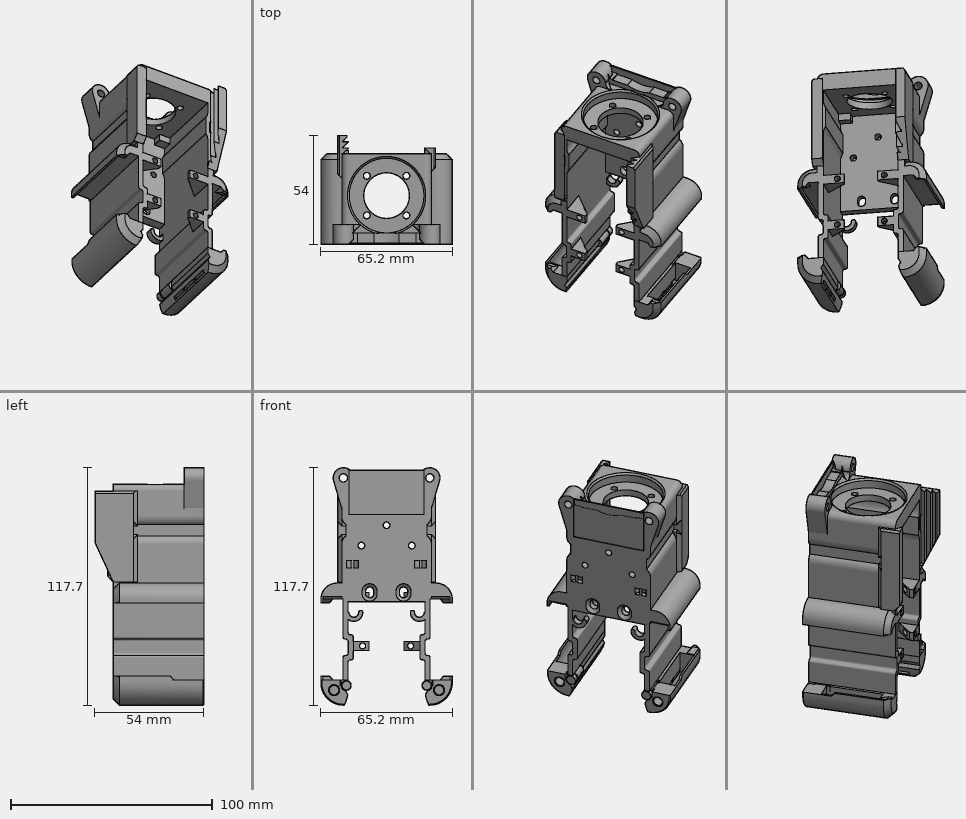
import cadquery as cq
import math


depth = 45.0
half_width = 32.6
total_height = 117.73

box_half = 22.2
box_top = 109.5
box_corner = 3.4
wall_inner = 19.0
front_thick = 5.0
roof_thick = 8.5
plate_bottom = 51.2
roof_under = box_top - roof_thick

groove_z = 86.75
groove_depth = 2.1
groove_floor = 5.6
groove_mouth = 13.9
bulge_depth = 1.2
bulge_floor = 10.0
bulge_mouth = 17.5

leg_outer = 21.6
leg_thick = leg_outer - wall_inner
jog = 2.5
jog_z = 28.73
jog_outer_half = 4.02
jog_inner_half = 6.27
jog_radius = 1.15

wing_top = 60.6
wing_radius = 8.1
wing_under = 52.6
wing_front_lift = 1.3
rim_bottom = 50.7
rim_thick = 1.1
back_bevel = 3.0
block_start = 39.5
block_ramp = 3.8
block_top_x = 28.2
block_foot_x = 26.6
margin = 0.1

motor_y = 24.2
motor_bore = 22.5
seat_diameter = 37.0
seat_depth = 5.0
seat_bevel = 0.9
motor_hole = 3.25
motor_hole_pitch = 19.6

ear_radius = 5.1
ear_x = 21.4
ear_z = total_height - ear_radius
ear_depth = 9.85
ear_foot_z = 97.5
ear_hole = 4.0
ear_fillet = 3.3

web_depth = 5.6
web_height = 3.4
web_step = 0.5
web_step_half = 14.5
dish_half = 6.2
dish_depth = 1.2
relief_half = 17.0
relief_front_half = 18.3
relief_front_length = 2.5

cover_half = 18.6
cover_bottom = 94.4
cover_top = 116.5
cover_thick = 0.6

plate_hole = 3.2
plate_hole_places = [(0, 89.2), (-12.5, 79.1), (12.5, 79.1)]
screw_x = 8.4
screw_z = 55.9
screw_width = 4.0
screw_head = 7.4
screw_stretch = 1.3
screw_sink = 1.7
tie_x = 16.9
tie_bottom = 68.0
tie_height = 3.6
tie_outer = 2.95
tie_inner = 0.65

flag_outer = 24.3
flag_bottom = 61.0
flag_top = box_top - box_corner
flag_bevel_x = 0.9
flag_bevel_z = 1.1
tooth_tip = 18.8
tooth_pitch = 3.1
first_tooth_y = 47.8
flag_floor_top = 64.5
notch_root_half = 2.1
notch_mouth_half = 4.4
long_flag_start = 35.0
long_flag_end = first_tooth_y + 2 * tooth_pitch
long_flag_slope_z = 80.4
long_tip_cut = 0.8
short_flag_start = 38.3
short_flag_slope_z = 64.0

hook_x = 16.25
hook_z = 46.0
hook_outer = 4.5
hook_inner = 2.35
hook_width = 3.5

tab_tip = 8.6
tab_height = 4.6
tab_tip_thick = 2.0
tab_hole = 2.9
tab_hole_x = 11.9
upper_tab_bottom = 51.3
lower_tab_bottom = 27.1

duct_top = 12.6
duct_radius = 11.2
duct_rim_top = 14.5
duct_rim_start = 15.0
duct_rim_full = 16.8
duct_front_bevel = 0.5
duct_tip = 21.0
lip_mid = (-19.6, 3.4)
lip_crest = (-19.2, 5.2)
lip_notch = (-20.2, 7.1)
lip_shoulder_z = 9.0
duct_hole = 4.7
duct_hole_x = 26.0
duct_hole_z = 7.5
duct_hole_bevel = 0.4
duct_hole_depth = 6.0
pocket_start = 9.6
pocket_end = 38.8
pocket_inner_x = 23.1
window_start = 12.4
window_length = 8.2
window_gap = 1.1
window_count = 3
window_bottom = 1.1
window_top = 2.6

pin_diameter = 4.75
pin_x = 19.9
pin_z = 9.8
pin_length = 11.3
pin_gap = 0.25
pin_groove_y = 2.9
pin_groove_width = 0.3
pin_groove_depth = 0.2


def front_sketch(y=0.0):
    """Sketch plane in X and Z; a negative extrude runs toward +Y."""
    return cq.Workplane("XZ", origin=(0, y, 0))


def along_y(sketch, length):
    return sketch.extrude(-length)


def box(x0, x1, y0, y1, z0, z1):
    return cq.Workplane("XY").box(x1 - x0, y1 - y0, z1 - z0, centered=False).translate((x0, y0, z0))


def rod(x, z, diameter, y0, y1):
    return along_y(front_sketch(y0).center(x, z).circle(diameter / 2), y1 - y0)


def mirrored(shape):
    return shape.mirror("YZ")


def on_both_sides(shape):
    return shape.union(mirrored(shape))


def groove_shape(face_x, groove_in, floor, mouth, y0):
    """Channel to the back face, with a flat floor and arcs that run out into the face at face_x."""
    rise = (mouth - floor) / 2
    radius = (groove_in ** 2 + rise ** 2) / (2 * groove_in)
    floor_x = face_x + groove_in
    sketch = (
        front_sketch(y0)
        .moveTo(face_x, groove_z - mouth / 2)
        .radiusArc((floor_x, groove_z - floor / 2), radius)
        .lineTo(floor_x, groove_z + floor / 2)
        .radiusArc((face_x, groove_z + mouth / 2), radius)
        .close()
    )
    return along_y(sketch, depth - y0)


def tunnel():
    outer = box(-box_half, box_half, 0, depth, plate_bottom, box_top).edges("|Y and >Z").fillet(box_corner)
    inner = box(-wall_inner, wall_inner, front_thick, depth, plate_bottom, roof_under)
    bulge = groove_shape(-wall_inner, bulge_depth, bulge_floor, bulge_mouth, front_thick)
    groove = groove_shape(-box_half, groove_depth, groove_floor, groove_mouth, 0)
    trim = box(-box_half, -leg_outer, 0, depth, plate_bottom, wing_under)
    shell = outer.cut(inner).union(on_both_sides(bulge))
    return shell.cut(on_both_sides(groove)).cut(on_both_sides(trim))


def leg():
    points = [
        (-leg_outer, wing_top),
        (-leg_outer, jog_z + jog_outer_half),
        (-leg_outer + jog, jog_z + jog_outer_half),
        (-leg_outer + jog, jog_z - jog_outer_half),
        (-leg_outer, jog_z - jog_outer_half),
        (-leg_outer, duct_top),
        (-wall_inner, duct_top),
        (-wall_inner, jog_z - jog_inner_half),
        (-wall_inner + jog, jog_z - jog_inner_half),
        (-wall_inner + jog, jog_z + jog_inner_half),
        (-wall_inner, jog_z + jog_inner_half),
        (-wall_inner, wing_top),
    ]
    wall = along_y(front_sketch().polyline(points).close(), depth)
    jog_corners = cq.selectors.BoxSelector(
        (-half_width, -margin, jog_z - jog_inner_half - margin),
        (0, depth + margin, jog_z + jog_inner_half + margin),
    )
    return wall.edges("|Y").edges(jog_corners).fillet(jog_radius)


def rim_block(rim_z, body_z):
    """Block inside the rim at the back end, ramped at the front and sloped on the inner side."""
    skin_x = -half_width + rim_thick
    points = [(skin_x, body_z), (skin_x, rim_z), (-block_top_x, rim_z), (-block_foot_x, body_z)]
    block = along_y(front_sketch(block_start).polyline(points).close(), depth - block_start)
    side = [(block_start, body_z), (block_start + block_ramp, rim_z), (depth, rim_z), (depth, body_z)]
    ramp = cq.Workplane("YZ", origin=(skin_x, 0, 0)).polyline(side).close().extrude(half_width)
    return block.intersect(ramp)


def skin_selector(inner_x, low_z, high_z, y):
    """Edges of the outer skin at depth y, outside inner_x and between two heights."""
    return cq.selectors.BoxSelector(
        (-half_width - margin, y - margin, low_z + margin),
        (inner_x + margin, y + margin, high_z - margin),
    )


def wing():
    arc_x = -half_width + wing_radius
    arc_z = wing_top - wing_radius
    mid = wing_radius * math.sqrt(0.5)
    sketch = (
        front_sketch()
        .moveTo(-wall_inner - leg_thick / 2, wing_top)
        .lineTo(arc_x, wing_top)
        .threePointArc((arc_x - mid, arc_z + mid), (-half_width, arc_z))
        .lineTo(-half_width, rim_bottom)
        .lineTo(-wall_inner - leg_thick / 2, rim_bottom)
        .close()
    )
    body = along_y(sketch, depth)
    skin = skin_selector(arc_x, rim_bottom, wing_top, depth)
    body = body.faces(">Y").edges(skin).chamfer(back_bevel)
    skin_x = -half_width + rim_thick
    under = box(skin_x, -leg_outer, 0, depth, rim_bottom, wing_under)
    lift = (
        cq.Workplane("YZ", origin=(skin_x, 0, 0))
        .polyline([(0, wing_under), (0, wing_under + wing_front_lift), (wing_front_lift, wing_under)])
        .close()
        .extrude(-leg_outer - skin_x)
    )
    return body.cut(under.cut(rim_block(rim_bottom, wing_under))).cut(lift)


def ear():
    """Lug with a round head, a slanted outer side and a filleted foot on the roof."""
    foot_dx = ear_x - box_half
    foot_dz = ear_foot_z - ear_z
    touch = math.atan2(foot_dz, foot_dx) - math.acos(ear_radius / math.hypot(foot_dx, foot_dz))
    touch_x = -ear_x + ear_radius * math.cos(touch)
    touch_z = ear_z + ear_radius * math.sin(touch)
    inner_x = -ear_x + ear_radius
    sketch = (
        front_sketch()
        .moveTo(-box_half, ear_foot_z)
        .lineTo(touch_x, touch_z)
        .threePointArc((-ear_x, ear_z + ear_radius), (inner_x, ear_z))
        .lineTo(inner_x, box_top + ear_fillet)
        .radiusArc((inner_x + ear_fillet, box_top), -ear_fillet)
        .lineTo(inner_x + ear_fillet, ear_foot_z)
        .close()
    )
    return along_y(sketch, ear_depth)


def web():
    """Low wall between the ears with a stepped top and a shallow dish."""
    top = box_top + web_height
    body = box(-ear_x, ear_x, 0, web_depth, roof_under, top)
    floor_z = top - web_step
    recess = (
        front_sketch()
        .moveTo(-web_step_half, top)
        .lineTo(-web_step_half, floor_z)
        .lineTo(-dish_half, floor_z)
        .threePointArc((0, floor_z - dish_depth), (dish_half, floor_z))
        .lineTo(web_step_half, floor_z)
        .lineTo(web_step_half, top)
        .close()
    )
    return body.cut(along_y(recess, web_depth))


def ear_relief():
    """Clearance with 45 degree sides that trims the feet of the ears behind and over the web."""
    inner_half = relief_half - (ear_depth - web_depth)
    behind = (
        cq.Workplane("XY", origin=(0, 0, box_top))
        .polyline([
            (-relief_half, web_depth),
            (-inner_half, ear_depth),
            (inner_half, ear_depth),
            (relief_half, web_depth),
        ])
        .close()
        .extrude(ear_fillet + ear_radius)
    )
    corner = (
        cq.Workplane("XY", origin=(0, 0, box_top + web_height))
        .polyline([
            (-relief_front_half, cover_thick),
            (-relief_front_half + relief_front_length, cover_thick + relief_front_length),
            (-web_step_half, cover_thick + relief_front_length),
            (-web_step_half, cover_thick),
        ])
        .close()
        .extrude(cover_top - box_top - web_height)
    )
    return behind.union(on_both_sides(corner))


def motor_seat():
    """Stepped bore through the roof, with four screw holes."""
    seat_floor = box_top - seat_depth
    seat_radius = seat_diameter / 2
    centre = cq.Workplane("XY", origin=(0, motor_y, 0))
    seat = centre.workplane(offset=seat_floor).circle(seat_radius).extrude(seat_depth)
    behind_web = box(-ear_x, ear_x, web_depth, depth, box_top, box_top + web_height)
    above = centre.workplane(offset=box_top).circle(seat_radius + seat_bevel).extrude(web_height)
    bevel_start = cq.Vector(0, motor_y, box_top - seat_bevel)
    bevel = cq.Workplane(cq.Solid.makeCone(seat_radius, seat_radius + seat_bevel, seat_bevel, bevel_start))
    bore = centre.workplane(offset=roof_under).circle(motor_bore / 2).extrude(roof_thick)
    holes = (
        centre.workplane(offset=roof_under)
        .rect(motor_hole_pitch, motor_hole_pitch, forConstruction=True)
        .vertices()
        .circle(motor_hole / 2)
        .extrude(roof_thick)
    )
    return seat.union(above.intersect(behind_web)).union(bevel).union(bore).union(holes)


def oblong_screw_hole():
    straight = front_sketch().center(-screw_x, screw_z).slot2D(screw_width + screw_stretch, screw_width, 90)
    sink_angle = math.degrees(math.atan2((screw_head - screw_width) / 2, screw_sink))
    sink = (
        front_sketch()
        .center(-screw_x, screw_z)
        .slot2D(screw_head + screw_stretch, screw_head, 90)
        .extrude(-screw_sink, taper=sink_angle)
    )
    return along_y(straight, front_thick).union(sink)


def tie_passage():
    """Half-ring passage for a cable tie, open at two slots in the front face."""
    plane = cq.Workplane("XY", origin=(-tie_x, 0, tie_bottom))
    return plane.circle(tie_outer).circle(tie_inner).extrude(tie_height)


def hook():
    ring = front_sketch().center(-hook_x, hook_z).circle(hook_outer).circle(hook_inner)
    below = box(-leg_outer, 0, 0, hook_width, hook_z - hook_outer, hook_z)
    tip_x = -hook_x + (hook_outer + hook_inner) / 2
    tip = rod(tip_x, hook_z, hook_outer - hook_inner, 0, hook_width)
    return along_y(ring, hook_width).intersect(below).union(tip)


def tab(root_x, bottom_z):
    """Wedge-shaped screw tab that thins toward its tip."""
    length = root_x - tab_tip
    points = [
        (-root_x, depth),
        (-root_x, depth - tab_tip_thick - length),
        (-tab_tip, depth - tab_tip_thick),
        (-tab_tip, depth),
    ]
    wedge = cq.Workplane("XY", origin=(0, 0, bottom_z)).polyline(points).close().extrude(tab_height)
    return wedge.cut(rod(-tab_hole_x, bottom_z + tab_height / 2, tab_hole, 0, depth))


def flag(start_y, teeth, slope_z):
    """Latch flag on the -X wall with saw teeth past the back face."""
    end_y = first_tooth_y + (teeth - 1) * tooth_pitch
    floor_x = -box_half + groove_depth
    lead = flag_outer - box_half
    root_x = -tooth_tip - tooth_pitch
    points = [
        (floor_x, start_y - lead),
        (-box_half, start_y - lead),
        (-flag_outer, start_y),
        (-flag_outer, end_y),
    ]
    for index in reversed(range(teeth)):
        edge_y = first_tooth_y + index * tooth_pitch
        points += [(-tooth_tip, edge_y), (root_x, edge_y - tooth_pitch)]
    points.append((floor_x, first_tooth_y - tooth_pitch))
    base = cq.Workplane("XY", origin=(0, 0, flag_bottom))
    body = base.polyline(points).close().extrude(flag_top - flag_bottom)
    body = body.union(box(root_x, -tooth_tip, depth, end_y, flag_bottom, flag_floor_top))
    slope = (
        cq.Workplane("YZ", origin=(-flag_outer, 0, 0))
        .polyline([(depth, flag_bottom), (end_y, slope_z), (end_y, flag_bottom)])
        .close()
        .extrude(flag_outer)
    )
    bevel = front_sketch().polyline([
        (-flag_outer, flag_top),
        (-flag_outer, flag_top - flag_bevel_z),
        (-flag_outer + flag_bevel_x, flag_top),
    ]).close()
    notch = front_sketch(start_y - lead).polyline([
        (floor_x, groove_z - notch_root_half),
        (-box_half, groove_z - notch_root_half),
        (-flag_outer, groove_z - notch_mouth_half),
        (-flag_outer, groove_z + notch_mouth_half),
        (-box_half, groove_z + notch_root_half),
        (floor_x, groove_z + notch_root_half),
    ]).close()
    return body.cut(slope).cut(along_y(bevel, end_y)).cut(along_y(notch, lead))


def long_flag():
    """Three-tooth flag whose last tooth has a blunt tip."""
    blunt_x = -tooth_tip - long_tip_cut
    tip = box(blunt_x, -tooth_tip, long_flag_end - tooth_pitch, long_flag_end, flag_bottom, flag_top)
    return flag(long_flag_start, 3, long_flag_slope_z).cut(tip)


def cover_blank():
    return box(-cover_half, cover_half, 0, cover_thick, cover_bottom, cover_top)


def housing():
    side = leg().union(wing()).union(hook()).union(ear())
    side = side.union(tab(wall_inner, upper_tab_bottom)).union(tab(wall_inner - jog, lower_tab_bottom))
    body = tunnel().union(web()).union(on_both_sides(side)).cut(ear_relief())
    body = body.union(long_flag())
    body = body.union(mirrored(flag(short_flag_start, 1, short_flag_slope_z)))
    body = body.cut(motor_seat())
    body = body.cut(on_both_sides(rod(-ear_x, ear_z, ear_hole, 0, ear_depth)))
    for x, z in plate_hole_places:
        body = body.cut(rod(x, z, plate_hole, 0, front_thick))
    body = body.cut(on_both_sides(oblong_screw_hole())).cut(on_both_sides(tie_passage()))
    return body.cut(cover_blank())


def duct_skin_arc(sketch, inset):
    """Quarter arc of the duct skin from its upper outer end down to the lowest point."""
    centre_x = -half_width + duct_radius
    radius = duct_radius - inset
    mid = radius * math.sqrt(0.5)
    return sketch.threePointArc(
        (centre_x - mid, duct_radius - mid), (centre_x, duct_radius - radius)
    )


def duct_pocket():
    skin_x = -half_width + rim_thick
    sketch = front_sketch(pocket_start).moveTo(-pocket_inner_x, duct_rim_top).lineTo(skin_x, duct_rim_top)
    sketch = duct_skin_arc(sketch.lineTo(skin_x, duct_radius), rim_thick)
    sketch = sketch.lineTo(-pocket_inner_x, window_top).close()
    return along_y(sketch, pocket_end - pocket_start)


def duct_windows():
    """Row of outlets from the foot of the pocket through the inner lip."""
    cuts = cq.Workplane("XY")
    for index in range(window_count):
        y0 = window_start + index * (window_length + window_gap)
        y1 = y0 + window_length
        cuts = cuts.union(box(-pocket_inner_x, -wall_inner, y0, y1, window_bottom, window_top))
    return cuts


def duct():
    sketch = front_sketch().moveTo(-wall_inner, duct_rim_top).lineTo(-half_width, duct_rim_top)
    sketch = duct_skin_arc(sketch.lineTo(-half_width, duct_radius), 0)
    sketch = (
        sketch.lineTo(-duct_tip, 0)
        .threePointArc(lip_mid, lip_crest)
        .lineTo(*lip_notch)
        .lineTo(-wall_inner, lip_shoulder_z)
        .close()
    )
    body = along_y(sketch, depth)
    centre_x = -half_width + duct_radius
    back_skin = skin_selector(centre_x, 0, duct_rim_top, depth)
    body = body.faces(">Y").edges(back_skin).chamfer(back_bevel)
    front_skin = skin_selector(centre_x, 0, duct_rim_top, 0)
    body = body.faces("<Y").edges(front_skin).chamfer(duct_front_bevel)

    skin_x = -half_width + rim_thick
    above = box(skin_x, -wall_inner, 0, depth, duct_top, duct_rim_top)
    rim_drop = (
        cq.Workplane("YZ", origin=(-half_width, 0, 0))
        .polyline([
            (0, duct_top),
            (0, duct_rim_top),
            (duct_rim_full, duct_rim_top),
            (duct_rim_start, duct_top),
        ])
        .close()
        .extrude(rim_thick)
    )
    body = body.cut(above.cut(rim_block(duct_rim_top, duct_top))).cut(rim_drop)
    body = body.cut(duct_pocket()).cut(duct_windows())

    hole = rod(-duct_hole_x, duct_hole_z, duct_hole, 0, duct_hole_depth)
    hole_bevel = cq.Workplane(
        cq.Solid.makeCone(
            duct_hole / 2 + duct_hole_bevel,
            duct_hole / 2,
            duct_hole_bevel,
            cq.Vector(-duct_hole_x, 0, duct_hole_z),
            cq.Vector(0, 1, 0),
        )
    )
    seat_radius = pin_diameter / 2 + pin_gap
    pin_seat = rod(-pin_x, pin_z, 2 * seat_radius, 0, pin_length)
    over_pin = box(-pin_x - seat_radius, -wall_inner, 0, pin_length, pin_z, duct_top)
    beside_pin = box(-pocket_inner_x, -pin_x, 0, pin_groove_y, pin_z, duct_top)
    under_pin = box(-pin_x, -wall_inner, 0, pin_length, pin_z - seat_radius, pin_z)
    for cutter in (hole, hole_bevel, pin_seat, over_pin, beside_pin, under_pin):
        body = body.cut(cutter)
    return body


def hinge_pin():
    body = rod(-pin_x, pin_z, pin_diameter, 0, pin_length)
    neck = pin_diameter - 2 * pin_groove_depth
    end_y = pin_groove_y + pin_groove_width
    groove = rod(-pin_x, pin_z, pin_diameter, pin_groove_y, end_y).cut(
        rod(-pin_x, pin_z, neck, pin_groove_y, end_y)
    )
    return body.cut(groove)


main_housing = housing()
cover = cover_blank()
ducts = [duct(), mirrored(duct())]
pins = [hinge_pin(), mirrored(hinge_pin())]

result = cq.Compound.makeCompound(
    [main_housing.val(), cover.val()] + [body.val() for body in ducts + pins]
)